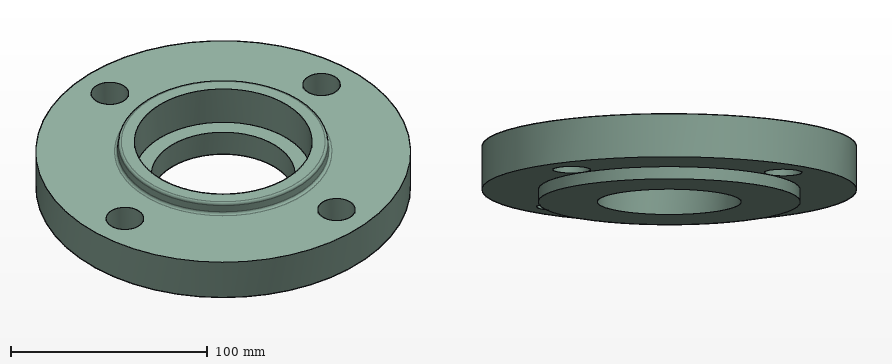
import cadquery as cq
import math

flange_diameter = 190.5
flange_thickness = 22.3

face_diameter = 133.1
face_height = 6.3

hub_base_diameter = 107.8
hub_height = 6.3
hub_draft_degrees = 7.0
hub_edge_radius = 1.5

bore_diameter = 73.1
socket_diameter = 90.3
socket_depth = 21.0

bolt_count = 4
bolt_circle_diameter = 152.4
bolt_hole_diameter = 19.0

flange_bottom = face_height
flange_top = flange_bottom + flange_thickness
hub_top = flange_top + hub_height
socket_floor = hub_top - socket_depth

hub_base_radius = hub_base_diameter / 2
hub_top_radius = hub_base_radius - hub_height * math.tan(math.radians(hub_draft_degrees))


def flange_body():
    """Solid of revolution made of the raised face, the disc and the tapered hub."""
    profile = (
        cq.Workplane("XZ")
        .moveTo(0, 0)
        .lineTo(face_diameter / 2, 0)
        .lineTo(face_diameter / 2, flange_bottom)
        .lineTo(flange_diameter / 2, flange_bottom)
        .lineTo(flange_diameter / 2, flange_top)
        .lineTo(hub_base_radius, flange_top)
        .lineTo(hub_top_radius, hub_top)
        .lineTo(0, hub_top)
        .close()
    )
    return profile.revolve(360, (0, 0, 0), (0, 1, 0))


def round_hub_edges(body):
    """Round the hub rim and blend the foot of the hub into the disc."""
    rim_and_foot = body.faces("%CONE").edges("%CIRCLE")
    return rim_and_foot.fillet(hub_edge_radius)


def stepped_bore():
    """Through bore that widens into a pipe socket at the hub end."""
    bore = cq.Workplane("XY").circle(bore_diameter / 2).extrude(hub_top)
    socket = (
        cq.Workplane("XY")
        .workplane(offset=socket_floor)
        .circle(socket_diameter / 2)
        .extrude(socket_depth)
    )
    return bore.union(socket)


def bolt_holes():
    """Through holes spaced evenly on the bolt circle, the first on the X axis."""
    return (
        cq.Workplane("XY")
        .polarArray(bolt_circle_diameter / 2, 0, 360, bolt_count)
        .circle(bolt_hole_diameter / 2)
        .extrude(flange_top)
    )


result = round_hub_edges(flange_body()).cut(stepped_bore()).cut(bolt_holes())